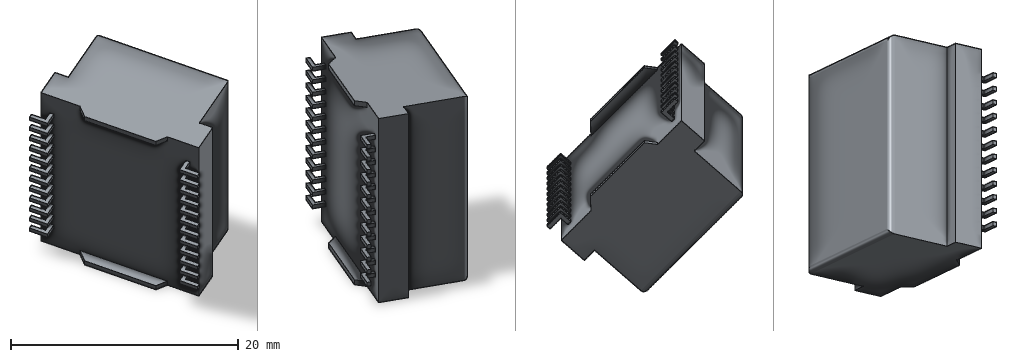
import cadquery as cq

height = 18.6
lead_span = 16.5
depth = 10.15

case_width = 12.87
case_depth = 6.1
base_width = 15.5
base_depth = 2.79
case_edge_radius = 0.5

mounting_y = -depth / 2
back_y = depth / 2
step_y = back_y - case_depth
base_front_y = step_y - base_depth

tab_clearance = 0.3
tab_front_y = mounting_y + tab_clearance
tab_thickness = 0.5
tab_root_left_x = -3.92
tab_root_right_x = 4.67
tab_flat_left_x = -2.98
tab_flat_right_x = 4.0

leads_per_side = 12
lead_pitch = 1.26
lead_width = 0.39
lead_thickness = 0.39
foot_length = 1.77


def make_body():
    """Stepped body with rounded edges all round the back of the case."""
    case = (
        cq.Workplane("XY")
        .box(case_width, case_depth, height)
        .translate((0, step_y + case_depth / 2, 0))
        .faces(">Y")
        .edges()
        .fillet(case_edge_radius)
    )
    base = (
        cq.Workplane("XY")
        .box(base_width, base_depth, height)
        .translate((0, base_front_y + base_depth / 2, 0))
    )
    return case.union(base)


def make_tab(bottom_z):
    """Standoff tab with sloping ends, its lower face at bottom_z."""
    return (
        cq.Workplane("XY", origin=(0, 0, bottom_z))
        .moveTo(tab_root_left_x, base_front_y)
        .lineTo(tab_flat_left_x, tab_front_y)
        .lineTo(tab_flat_right_x, tab_front_y)
        .lineTo(tab_root_right_x, base_front_y)
        .close()
        .extrude(tab_thickness)
    )


def make_lead(side, center_z):
    """Lead with a leg out of the base and a foot turned outward; side is -1 or +1 along X."""
    toe_x = side * lead_span / 2
    heel_x = toe_x - side * foot_length
    leg_outer_x = heel_x + side * lead_thickness
    foot_back_y = mounting_y + lead_thickness
    return (
        cq.Workplane("XY", origin=(0, 0, center_z - lead_width / 2))
        .moveTo(heel_x, base_front_y)
        .lineTo(heel_x, mounting_y)
        .lineTo(toe_x, mounting_y)
        .lineTo(toe_x, foot_back_y)
        .lineTo(leg_outer_x, foot_back_y)
        .lineTo(leg_outer_x, base_front_y)
        .close()
        .extrude(lead_width)
    )


result = make_body()

for tab_bottom_z in (-height / 2, height / 2 - tab_thickness):
    result = result.union(make_tab(tab_bottom_z))

for lead_index in range(leads_per_side):
    lead_z = (lead_index - (leads_per_side - 1) / 2) * lead_pitch
    for lead_side in (-1, 1):
        result = result.union(make_lead(lead_side, lead_z))